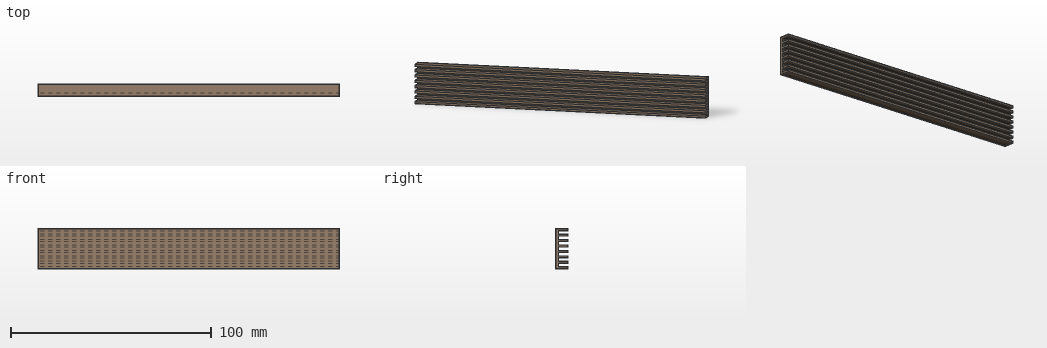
import cadquery as cq

length = 150.0
depth = 6.0
height = 20.0

base_thickness = 1.5
fin_count = 8
fin_thickness = 1.0
fin_pitch = (height - fin_thickness) / (fin_count - 1)
fin_length = depth - base_thickness
slot_width = fin_pitch - fin_thickness


def bar():
    """Solid bar, centred in X and Z, with the base plate's outer face at Y = 0."""
    return cq.Workplane("XY").box(length, depth, height, centered=(True, False, True))


def slot(bottom):
    """Full-length slot between two fins, open on the +Y side."""
    return (
        cq.Workplane("XY")
        .box(length, fin_length, slot_width, centered=(True, False, False))
        .translate((0, base_thickness, bottom))
    )


result = bar()
for index in range(fin_count - 1):
    slot_bottom = -height / 2 + fin_thickness + index * fin_pitch
    result = result.cut(slot(slot_bottom))